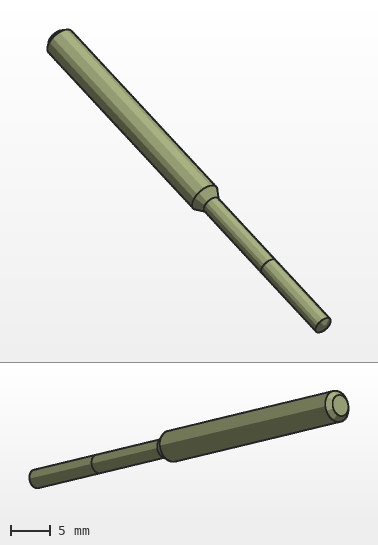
import cadquery as cq
import math

overall_length = 57.0
shank_radius = 2.0
neck_radius = 1.2
back_chamfer = 0.65

cutting_length = 12.0
reach_length = 24.2
taper_half_angle = 30.0
point_angle = 140.0

taper_length = (shank_radius - neck_radius) / math.tan(math.radians(taper_half_angle))
point_length = neck_radius / math.tan(math.radians(point_angle / 2))

joint_x = overall_length - cutting_length
neck_start_x = overall_length - reach_length
taper_start_x = neck_start_x - taper_length
point_start_x = overall_length - point_length


def revolve_about_x(profile_points):
    """Spin a half profile, given as (x, y) points on the -Y side, about the X axis."""
    profile = cq.Workplane("XY").polyline(profile_points).close()
    return profile.revolve(360, (0, 0, 0), (1, 0, 0))


def make_shank():
    """Chamfered shank that tapers down to the neck."""
    return revolve_about_x([
        (0, 0),
        (0, -(shank_radius - back_chamfer)),
        (back_chamfer, -shank_radius),
        (taper_start_x, -shank_radius),
        (neck_start_x, -neck_radius),
        (joint_x, -neck_radius),
        (joint_x, 0),
    ])


def make_cutting_head():
    """Cylindrical cutting length with a conical point, butted against the neck."""
    return revolve_about_x([
        (joint_x, 0),
        (joint_x, -neck_radius),
        (point_start_x, -neck_radius),
        (overall_length, 0),
    ])


shank = make_shank()
cutting_head = make_cutting_head()

result = cq.Compound.makeCompound([shank.val(), cutting_head.val()])